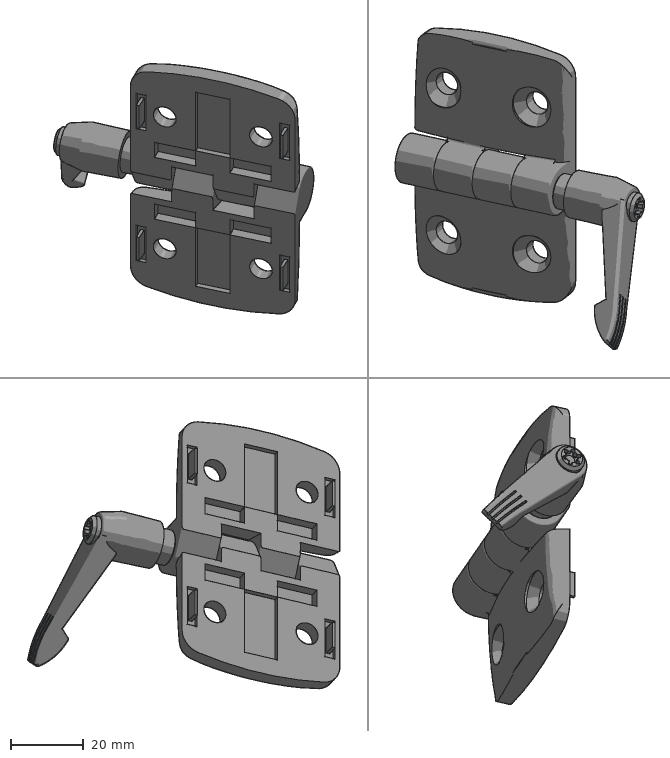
import cadquery as cq
import math

leaf_width = 48.05
half_width = leaf_width / 2
leaf_pair_height = 77.0
half_height = leaf_pair_height / 2
axis_y = 9.0
knuckle_radius = 7.0
knuckle_length = leaf_width / 4
knuckle_rounding = 0.5

end_arc_radius = 100.0
corner_radius = 6.0
crown_height = 7.95
crown_top_z = 7.8
crown_radius_along = 171.6
crown_radius_across = 131.8
side_rounding = 3.1
end_wall_height = 3.8
end_rounding = 1.55
arm_edge_z = 1.4
slot_edge_z = 5.9
slot_slope = 13.6
blend_radius = 0.9

hole_x = 14.0
feature_z = 22.5
hole_diameter = 6.6
sink_diameter = 12.0
sink_angle = 90.0
strip_width = 10.0
strip_bottom_z = 13.1
strip_top_z = 33.1
strip_depth = 1.55
side_pocket_reach = 17.0
side_pocket_bottom_z = 7.95
side_pocket_depth = 3.0
tab_x = 21.0
tab_pocket_width = 3.0
tab_pocket_length = 12.0
tab_pocket_depth = 1.25
tab_length = 7.95
tab_root_width = 1.1
tab_tip_width = 0.8
tab_reach = 2.5

collar_radius = 5.0
collar_left_x = -28.5
collar_chamfer = 0.3
hub_radius = 6.7
shoulder_radius = 6.95
shoulder_x = -39.8
hub_nose_radius = 5.4
hub_face_x = -46.25
hub_face_rounding = 0.8
head_radius = 4.05
head_left_x = -48.5
head_chamfer = 0.9
socket_depth = 1.55
socket_core_radius = 1.9
socket_lobes = 6
socket_lobe_radius = 0.55
socket_lobe_circle = 2.2
socket_point_radius = 1.4
socket_point_depth = 0.8

arm_swing = 40.0
arm_half_width_at_axis = 5.7
arm_half_width_at_tip = 3.6
arm_length = 40.1
overall_length = 78.0
arm_left_x = half_width - overall_length
arm_rounding = 1.0
arm_inner_rounding = 0.5
arm_root_x = -40.5
arm_root_z = -4.7
arm_middle_x = -44.1
arm_lean = 0.22
grip_start_x = -52.7
grip_start_z = -28.1
grip_bulge_z = -36.3
grip_end_x = -53.8
tip_chamfer = 0.5
grip_end_z = tip_chamfer - arm_length
tip_inner_x = -52.9
pad_middle_x = -48.9
pad_middle_z = -36.2
stop_crest_x = -46.4
stop_crest_z = -30.4
stop_root_x = -49.1
groove_start_z = -25.6
groove_width = 0.5
groove_depth = 0.4
groove_spread = 2.65
groove_fan_angle = 1.4
cutter_margin = 0.8
tolerance = 0.1


def box(x_range, y_range, z_range):
    """Axis-aligned block spanning the three given (low, high) ranges."""
    lows = (x_range[0], y_range[0], z_range[0])
    sizes = [high - low for low, high in (x_range, y_range, z_range)]
    return cq.Workplane("XY").box(*sizes, centered=False).translate(lows)


def around(center, size):
    """(low, high) range of the given size about a centre."""
    return (center - size / 2, center + size / 2)


def crowned_bar():
    """Ring with rounded sides and a crowned back: its section follows the shallow arc along the leaf."""
    edge_height = crown_height - half_width**2 / (2 * crown_radius_across)
    turn_y = crown_height - crown_radius_along
    section = (
        cq.Workplane("XY")
        .moveTo(-half_width, -crown_height)
        .lineTo(half_width, -crown_height)
        .lineTo(half_width, edge_height)
        .threePointArc((0, crown_height), (-half_width, edge_height))
        .close()
    )
    ring = section.revolve(360, (0, turn_y, 0), (1, turn_y, 0))
    rim_radius = edge_height - turn_y
    rims = ring.edges("%CIRCLE").filter(lambda edge: abs(edge.radius() - rim_radius) < tolerance)
    return rims.fillet(side_rounding).translate((0, 0, crown_top_z))


def end_rounder():
    """Turned disc whose rounded rim takes off the outer end of the leaf along its arc."""
    rounded_radius = end_arc_radius - end_rounding
    rim_top = end_wall_height + end_rounding
    diagonal = end_rounding * math.sqrt(0.5)
    profile = (
        cq.Workplane("XY")
        .lineTo(end_arc_radius, 0)
        .lineTo(end_arc_radius, end_wall_height)
        .threePointArc((rounded_radius + diagonal, end_wall_height + diagonal), (rounded_radius, rim_top))
        .lineTo(rounded_radius - 2 * crown_height, 2 * crown_height)
        .lineTo(0, 2 * crown_height)
        .close()
    )
    disc = profile.revolve(360, (0, 0, 0), (0, 1, 0))
    return disc.translate((0, 0, half_height - end_arc_radius))


def knuckle_slot(left_x):
    """Sloped clearance in the plate edge for a knuckle of the other leaf."""
    rise = 2 * crown_height
    run = rise * math.tan(math.radians(slot_slope))
    return (
        cq.Workplane("YZ", origin=(left_x, 0, 0))
        .moveTo(0, slot_edge_z)
        .lineTo(rise, slot_edge_z + run)
        .lineTo(rise, 0)
        .lineTo(0, 0)
        .close()
        .extrude(knuckle_length)
    )


def leaf_plate():
    """Crowned plate with an arched outer end, round corners and slots for the other leaf's knuckles."""
    arc_center_z = half_height - end_arc_radius
    quarter_width = half_width / 2
    quarter_z = arc_center_z + math.sqrt(end_arc_radius**2 - quarter_width**2)
    shoulder_z = arc_center_z + math.sqrt(end_arc_radius**2 - half_width**2)
    outline = (
        cq.Workplane("XZ")
        .moveTo(-half_width, slot_edge_z)
        .lineTo(-half_width, shoulder_z)
        .threePointArc((-quarter_width, quarter_z), (0, half_height))
        .threePointArc((quarter_width, quarter_z), (half_width, shoulder_z))
        .lineTo(half_width, slot_edge_z)
        .close()
        .extrude(-2 * crown_height)
    )
    outline = outline.edges("|Y").edges(">Z").fillet(corner_radius)
    for left_x in (-knuckle_length, knuckle_length):
        outline = outline.cut(knuckle_slot(left_x))
    return outline.intersect(crowned_bar()).intersect(end_rounder())


def knuckle_arm(left_x):
    """Knuckle one quarter of the leaf wide, with the arm that joins it to its plate."""
    edge_distance = math.hypot(axis_y, arm_edge_z)
    tangent_length = math.sqrt(edge_distance**2 - knuckle_radius**2)
    tangent_angle = math.asin(knuckle_radius / edge_distance) + math.atan2(arm_edge_z, axis_y)
    tangent_y = tangent_length * math.cos(tangent_angle)
    tangent_z = arm_edge_z - tangent_length * math.sin(tangent_angle)
    arm = (
        cq.Workplane("YZ", origin=(left_x, 0, 0))
        .moveTo(0, arm_edge_z)
        .lineTo(tangent_y, tangent_z)
        .threePointArc((axis_y + knuckle_radius, 0), (axis_y, knuckle_radius))
        .lineTo(0, knuckle_radius)
        .close()
        .extrude(knuckle_length)
    )
    return arm.faces("<X or >X").edges("%CIRCLE").fillet(knuckle_rounding)


def plate_blend(left_x, right_x):
    """Concave fillet where the crowned back of the plate runs into the wall of a knuckle arm."""
    turn_y = crown_height - crown_radius_across
    low_z = knuckle_radius
    high_z = low_z + blend_radius
    outer_radius = crown_radius_across + blend_radius
    bend = blend_radius * (1 - math.sqrt(0.5))
    profile = (
        cq.Workplane("XZ")
        .moveTo(crown_radius_across - blend_radius, low_z)
        .lineTo(outer_radius, low_z)
        .threePointArc((crown_radius_across + bend, low_z + bend), (crown_radius_across, high_z))
        .lineTo(crown_radius_across - blend_radius, high_z)
        .close()
    )
    ring = profile.revolve(360, (0, 0, 0), (0, 1, 0)).translate((0, turn_y, 0))
    return ring.intersect(box((left_x, right_x), (0, axis_y), (low_z, high_z)))


def screw_hole(x):
    """Through hole, countersunk from the crowned back."""
    crown_y = crown_height - hole_x**2 / (2 * crown_radius_across)
    crown_y -= (feature_z - crown_top_z) ** 2 / (2 * crown_radius_along)
    hole_radius = hole_diameter / 2
    sink_radius = sink_diameter / 2
    sink_bottom = crown_y - (sink_radius - hole_radius) / math.tan(math.radians(sink_angle / 2))
    profile = (
        cq.Workplane("XY")
        .lineTo(hole_radius, 0)
        .lineTo(hole_radius, sink_bottom)
        .lineTo(sink_radius, crown_y)
        .lineTo(sink_radius, 2 * crown_height)
        .lineTo(0, 2 * crown_height)
        .close()
    )
    return profile.revolve(360, (0, 0, 0), (0, 1, 0)).translate((x, 0, feature_z))


def mounting_pockets():
    """Central strip and the two deeper pockets on either side of its lower end."""
    strip_side = strip_width / 2
    side_z = (side_pocket_bottom_z, strip_bottom_z)
    pockets = box((-strip_side, strip_side), (0, strip_depth), (strip_bottom_z, strip_top_z))
    pockets = pockets.union(box((-side_pocket_reach, -strip_side), (0, side_pocket_depth), side_z))
    return pockets.union(box((strip_side, side_pocket_reach), (0, side_pocket_depth), side_z))


def tab_pocket(x):
    return box(around(x, tab_pocket_width), (0, tab_pocket_depth), around(feature_z, tab_pocket_length))


def locating_tab(x):
    """Tapered tab that rises from the floor of its pocket and stands proud of the leaf."""
    root = tab_root_width / 2
    tip = tab_tip_width / 2
    points = [
        (x - root, tab_pocket_depth),
        (x - tip, -tab_reach),
        (x + tip, -tab_reach),
        (x + root, tab_pocket_depth),
    ]
    tab = cq.Workplane("XY").polyline(points).close().extrude(tab_length)
    return tab.translate((0, 0, feature_z - tab_length / 2))


def make_leaf():
    """Upper leaf: its knuckles fill the first and third quarters of the width."""
    leaf = leaf_plate().faces(">X").edges("<Z").fillet(knuckle_rounding)
    for left_x in (-half_width, 0):
        blend_left_x = max(left_x, side_rounding - half_width)
        leaf = leaf.union(knuckle_arm(left_x))
        leaf = leaf.union(plate_blend(blend_left_x, left_x + knuckle_length))
    leaf = leaf.cut(mounting_pockets())
    for side in (-1, 1):
        leaf = leaf.cut(screw_hole(side * hole_x))
        leaf = leaf.cut(tab_pocket(side * tab_x))
        leaf = leaf.union(locating_tab(side * tab_x))
    return leaf


def turned(points):
    """Solid turned about the hinge axis from (x, radius) points that start and end on the axis."""
    return cq.Workplane("XY").polyline(points).close().revolve(360, (0, 0, 0), (1, 0, 0))


def make_collar():
    right_x = -half_width
    collar = turned([
        (collar_left_x, 0),
        (collar_left_x, collar_radius),
        (right_x - collar_chamfer, collar_radius),
        (right_x, collar_radius - collar_chamfer),
        (right_x, 0),
    ])
    return collar.translate((0, axis_y, 0))


head_outline = [
    (hub_face_x, 0),
    (hub_face_x, head_radius),
    (head_left_x + head_chamfer, head_radius),
    (head_left_x, head_radius - head_chamfer),
    (head_left_x, 0),
]


def lever_hub():
    hub = turned([
        (collar_left_x, 0),
        (collar_left_x, hub_radius),
        (shoulder_x, shoulder_radius),
        (hub_face_x, hub_nose_radius),
        (hub_face_x, 0),
    ])
    return hub.faces("<X").edges().fillet(hub_face_rounding)


def outer_curve(start_x, start_z, inset):
    """Outer line of the arm from the given start point through its grip, the grip moved in by an inset."""
    return (
        cq.Workplane("XZ")
        .moveTo(start_x, start_z)
        .lineTo(grip_start_x + inset, grip_start_z)
        .threePointArc((arm_left_x + inset, grip_bulge_z), (grip_end_x + inset, grip_end_z))
    )


def arm_taper():
    """Outline of the arm seen along the hinge axis: round at the axis and narrowing to the tip."""
    return (
        cq.Workplane("YZ", origin=(arm_left_x - cutter_margin, 0, 0))
        .moveTo(-arm_half_width_at_axis, 0)
        .threePointArc((0, arm_half_width_at_axis), (arm_half_width_at_axis, 0))
        .lineTo(arm_half_width_at_tip, -arm_length)
        .lineTo(-arm_half_width_at_tip, -arm_length)
        .close()
        .extrude(arm_root_x - arm_left_x + cutter_margin)
    )


def grip_groove(step):
    """Groove of even depth along the outer side; the grooves converge with the arm's taper."""
    clear_x = arm_left_x - cutter_margin
    start_x = hub_face_x + (grip_start_x - hub_face_x) * groove_start_z / grip_start_z + groove_depth
    groove = (
        outer_curve(start_x, groove_start_z, groove_depth)
        .lineTo(grip_end_x + groove_depth, -arm_length)
        .lineTo(clear_x, -arm_length)
        .lineTo(clear_x, groove_start_z)
        .close()
        .extrude(groove_width / 2, both=True)
    )
    groove = groove.translate((0, step * groove_spread, 0))
    return groove.rotate((0, 0, 0), (1, 0, 0), -step * groove_fan_angle)


def is_outside(point):
    """True on the outer side of a line down the middle of the arm."""
    return point.x < arm_middle_x + arm_lean * point.z


def is_outer_side_edge(edge):
    center = edge.Center()
    return abs(center.y) > arm_half_width_at_tip / 2 and is_outside(center)


def is_inner_edge(edge):
    """True for the side edges below the root on the inner side, and for the crest of the finger stop."""
    center = edge.Center()
    on_side = abs(center.y) > arm_half_width_at_tip / 2
    on_crest = center.x > stop_crest_x - tolerance and center.z < stop_crest_z + tolerance
    return on_crest or (on_side and center.z < arm_root_z and not is_outside(center))


def lever_arm():
    """Tapered arm with a finger stop on its inner side and grip grooves outside."""
    side_profile = (
        outer_curve(hub_face_x, 0, 0)
        .lineTo(tip_inner_x, -arm_length)
        .threePointArc((pad_middle_x, pad_middle_z), (stop_crest_x, stop_crest_z))
        .lineTo(stop_root_x, grip_start_z)
        .lineTo(arm_root_x, arm_root_z)
        .lineTo(arm_root_x, 0)
        .close()
        .extrude(arm_half_width_at_axis, both=True)
    )
    arm = side_profile.intersect(arm_taper())
    arm = arm.edges().filter(is_outer_side_edge).fillet(arm_rounding)
    arm = arm.edges().filter(is_inner_edge).fillet(arm_inner_rounding)
    for step in (-1, 0, 1):
        arm = arm.cut(grip_groove(step))
    return arm


def make_lever():
    lever = lever_hub().union(lever_arm()).cut(turned(head_outline))
    return lever.rotate((0, 0, 0), (1, 0, 0), arm_swing).translate((0, axis_y, 0))


def make_screw():
    head = turned(head_outline)
    socket_plane = cq.Workplane("YZ", origin=(head_left_x, 0, 0))
    socket = socket_plane.circle(socket_core_radius).extrude(socket_depth)
    lobes = socket_plane.polarArray(socket_lobe_circle, arm_swing, 360, socket_lobes)
    socket = socket.union(lobes.circle(socket_lobe_radius).extrude(socket_depth))
    socket_floor_x = head_left_x + socket_depth
    point = turned([
        (socket_floor_x, 0),
        (socket_floor_x, socket_point_radius),
        (socket_floor_x + socket_point_depth, 0),
    ])
    head = head.cut(socket).cut(point)
    return head.translate((0, axis_y, 0))


upper_leaf = make_leaf()
lower_leaf = upper_leaf.rotate((0, 0, 0), (0, 1, 0), 180)
collar = make_collar()
lever = make_lever()
screw = make_screw()

result = cq.Compound.makeCompound([
    upper_leaf.val(),
    lower_leaf.val(),
    collar.val(),
    lever.val(),
    screw.val(),
])